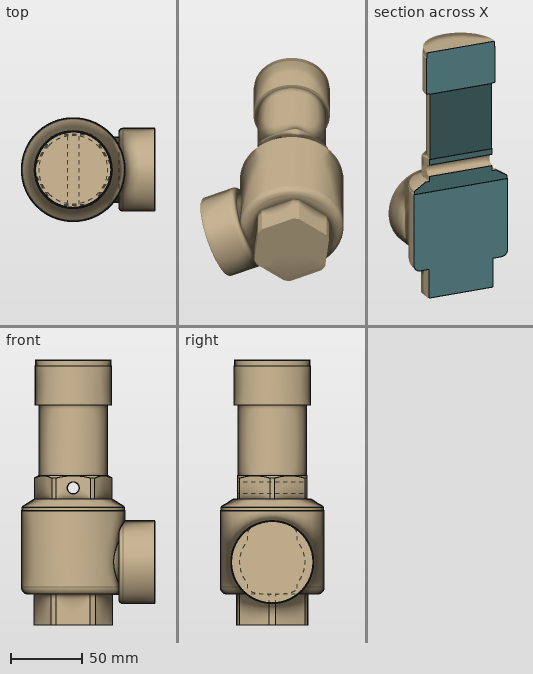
import cadquery as cq
import math

total_height = 186.0
overall_length = 94.0
housing_bottom_z = 21.8
housing_top_z = 80.5
cone_base_z = 83.3
cone_top_z = 88.5
nut_top_z = 105.0
cap_bottom_z = 154.4
cap_shoulder_z = 182.0

housing_radius = 36.5
housing_bottom_fillet = 5.0
housing_top_chamfer = 0.4
inlet_hex_across_flats = 50.0
inlet_hex_corner_radius = 27.7

outlet_z = 44.3
outlet_radius = 58.2 / 2
outlet_inner_x = 32.0
outlet_end_x = overall_length - housing_radius
outlet_fillet = 3.0
outlet_chamfer = 0.5
outlet_neck_radius = 22.9

bonnet_rim_radius = 36.0
bonnet_rim_chamfer = 0.5
cone_top_radius = 27.3
nut_across_flats = 49.0
nut_corner_radius = 27.3
nut_chamfer_height = 1.9
cross_hole_diameter = 8.2
cross_hole_z = 96.3

tube_radius = 48.2 / 2
cap_radius = 53.8 / 2
cap_top_radius = 26.5


def cylinder(radius, bottom_z, top_z):
    """Round bar on the vertical axis between two heights."""
    return cq.Workplane("XY").workplane(offset=bottom_z).circle(radius).extrude(top_z - bottom_z)


def outlet_cylinder(radius, start_x, end_x):
    """Round bar on the outlet axis between two X positions."""
    return (
        cq.Workplane("YZ", origin=(start_x, 0, outlet_z))
        .circle(radius)
        .extrude(end_x - start_x)
    )


def rounded_hex(across_flats, corner_radius, bottom_z, top_z):
    """Hexagonal bar with flats facing +-Y and its corners turned to a radius."""
    across_corners = across_flats / math.cos(math.pi / 6)
    hexagon = (
        cq.Workplane("XY")
        .workplane(offset=bottom_z)
        .polygon(6, across_corners)
        .extrude(top_z - bottom_z)
    )
    return hexagon.intersect(cylinder(corner_radius, bottom_z, top_z))


def make_housing():
    """Barrel with a hexagonal inlet below and a round outlet at the side."""
    barrel = cylinder(housing_radius, housing_bottom_z, housing_top_z)
    barrel = barrel.faces("<Z").edges().fillet(housing_bottom_fillet)
    barrel = barrel.faces(">Z").edges().chamfer(housing_top_chamfer)
    inlet = rounded_hex(inlet_hex_across_flats, inlet_hex_corner_radius, 0, housing_bottom_z)
    neck = outlet_cylinder(outlet_neck_radius, 0, outlet_inner_x)
    outlet = outlet_cylinder(outlet_radius, outlet_inner_x, outlet_end_x)
    outlet = outlet.faces("<X").edges().fillet(outlet_fillet)
    outlet = outlet.faces(">X").edges().chamfer(outlet_chamfer)
    return barrel.union(inlet).union(neck).union(outlet)


def make_bonnet():
    """Conical cover with a chamfered hexagon on top and a cross hole along Y."""
    cone_base_radius = bonnet_rim_radius - bonnet_rim_chamfer
    cover = (
        cq.Workplane("XZ")
        .moveTo(0, housing_top_z)
        .lineTo(bonnet_rim_radius, housing_top_z)
        .lineTo(bonnet_rim_radius, cone_base_z - bonnet_rim_chamfer)
        .lineTo(cone_base_radius, cone_base_z)
        .lineTo(cone_top_radius, cone_top_z)
        .lineTo(0, cone_top_z)
        .close()
        .revolve()
    )
    nut_envelope = cylinder(nut_corner_radius, cone_top_z, nut_top_z)
    nut_envelope = nut_envelope.faces(">Z").edges().chamfer(
        nut_chamfer_height, nut_corner_radius - tube_radius
    )
    nut = rounded_hex(nut_across_flats, nut_corner_radius, cone_top_z, nut_top_z)
    nut = nut.intersect(nut_envelope)
    cross_hole = (
        cq.Workplane("XZ", origin=(0, 0, cross_hole_z))
        .circle(cross_hole_diameter / 2)
        .extrude(nut_across_flats, both=True)
    )
    return cover.union(nut).cut(cross_hole)


def make_tube():
    """Plain round spring housing between the bonnet and the cap."""
    return cylinder(tube_radius, nut_top_z, cap_bottom_z)


def make_cap():
    """Round cap with a slightly smaller top step."""
    skirt = cylinder(cap_radius, cap_bottom_z, cap_shoulder_z)
    return skirt.union(cylinder(cap_top_radius, cap_shoulder_z, total_height))


housing = make_housing()
bonnet = make_bonnet()
tube = make_tube()
cap = make_cap()

result = cq.Compound.makeCompound([part.solids().val() for part in (housing, bonnet, tube, cap)])